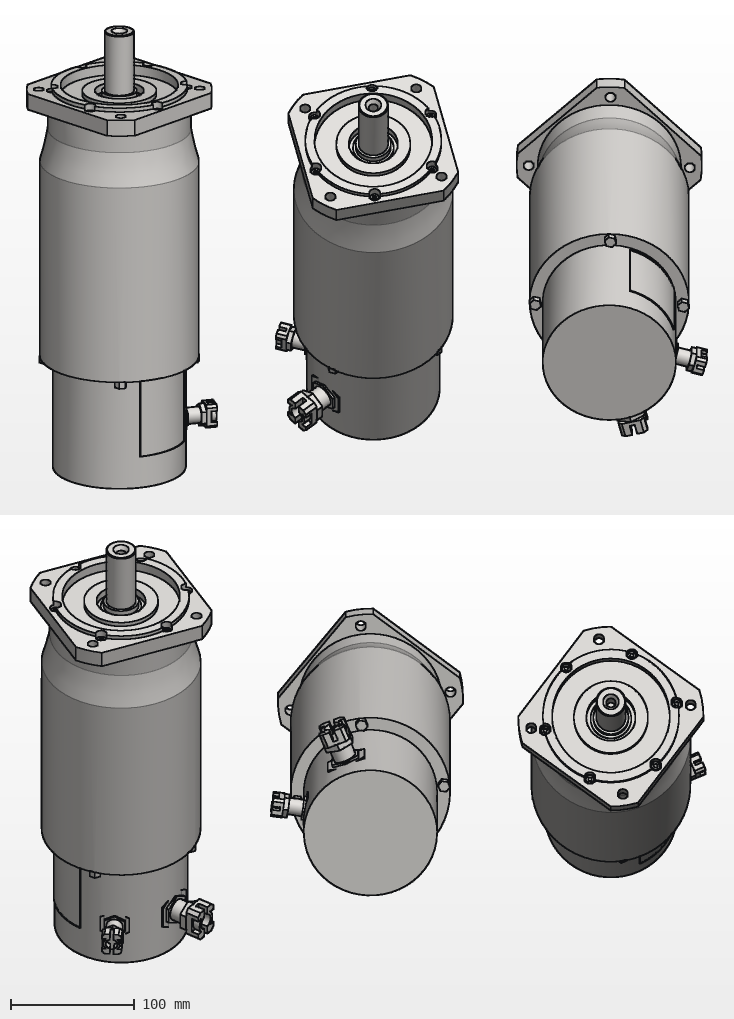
import cadquery as cq
import math

total_height = 374.5
barrel_top = 95.5
body_top = 263.0
neck_base = 291.0
flange_bottom = 311.3
flange_top = 324.8
pilot_top = 328.0

barrel_radius = 54.0
body_radius = 64.5
neck_radius = 58.0
taper_mid_radius = 60.5
shaft_radius = 12.0
shaft_chamfer = 0.7

flange_width = 120.5
flange_corner_radius = 75.0
mount_hole_offset = 46.0
mount_hole_diameter = 8.2

pilot_radius = 55.0
recess_radius = 47.5
recess_depth = 8.5
boss_radius = 30.0
boss_height = 3.7
seat_radius = 20.0
seat_depth = 6.7
bearing_radius = 16.5
bearing_drop = 5.0
sleeve_radius = 14.2

cap_screw_count = 6
cap_screw_circle = 54.5
cap_screw_start_angle = -11.7
cap_pocket_radius = 4.5
cap_pocket_depth = 8.2
cap_head_radius = 3.5
cap_head_height = 3.0
cap_socket_width = 3.5
cap_socket_depth = 1.5

centre_hole_radius = 3.7
centre_hole_depth = 18.7
centre_countersink_radius = 6.5
centre_countersink_depth = 3.7

rear_screw_offset = 42.5
rear_screw_across_corners = 9.7
rear_screw_height = 5.5

cover_half_width = 25.5
cover_radius = 54.7
cover_bottom = 27.0
cover_top = 91.8

connector_height = 37.5
connector_base_reach = 53.2
connector_collar_reach = 55.5
power_connector_angle = 120
signal_connector_angle = 60
power_connector_reach = 84.3
signal_connector_reach = 80.0
signal_connector_scale = 0.74

base_across_corners = 36.7
nut_across_corners = 26.2
nut_length = 5.5
neck_diameter = 18.5
head_width = 21.5
head_height = 26.5
head_length = 12.0
head_corner_chamfer = 3.0
head_bore_diameter = 12.7
head_slot_width = 4.0
head_slot_depth = 8.5
head_notch_length = 6.5
head_notch_height = 12.7
head_core_diameter = 18.0


def cylinder(radius, bottom, top):
    return cq.Workplane("XY").workplane(offset=bottom).circle(radius).extrude(top - bottom)


def make_housing():
    """Barrel, body, taper and neck as one turned profile."""
    taper_mid_height = (body_top + neck_base) / 2
    return (
        cq.Workplane("XZ")
        .lineTo(barrel_radius, 0)
        .lineTo(barrel_radius, barrel_top)
        .lineTo(body_radius, barrel_top)
        .lineTo(body_radius, body_top)
        .threePointArc((taper_mid_radius, taper_mid_height), (neck_radius, neck_base))
        .lineTo(neck_radius, flange_bottom)
        .lineTo(0, flange_bottom)
        .close()
        .revolve(360, (0, 0, 0), (0, 1, 0))
    )


def make_flange():
    """Mounting flange with its raised disc, recess, boss and bearing seat."""
    thickness = flange_top - flange_bottom
    flange = (
        cq.Workplane("XY")
        .workplane(offset=flange_bottom)
        .rect(flange_width, flange_width)
        .extrude(thickness)
        .intersect(cylinder(flange_corner_radius, flange_bottom, flange_top))
        .union(cylinder(pilot_radius, flange_top, pilot_top))
    )
    recess_floor = pilot_top - recess_depth
    boss_top = recess_floor + boss_height
    seat_floor = boss_top - seat_depth
    flange = flange.cut(cylinder(recess_radius, recess_floor, pilot_top))
    flange = flange.union(cylinder(boss_radius, recess_floor, boss_top))
    flange = flange.cut(cylinder(seat_radius, seat_floor, boss_top))
    flange = flange.union(cylinder(bearing_radius, seat_floor, boss_top - bearing_drop))
    return flange.union(cylinder(sleeve_radius, seat_floor, boss_top))


def make_mount_holes():
    spacing = 2 * mount_hole_offset
    return (
        cq.Workplane("XY")
        .workplane(offset=flange_bottom)
        .rect(spacing, spacing, forConstruction=True)
        .vertices()
        .circle(mount_hole_diameter / 2)
        .extrude(flange_top - flange_bottom)
    )


def add_cap_screws(part):
    """Cut a pocket for each cap screw and set a socket head in it."""
    pocket_floor = pilot_top - cap_pocket_depth
    head_top = pocket_floor + cap_head_height
    pocket = cylinder(cap_pocket_radius, pocket_floor, pilot_top)
    socket = (
        cq.Workplane("XY")
        .workplane(offset=head_top - cap_socket_depth)
        .polygon(6, cap_socket_width)
        .extrude(cap_socket_depth)
    )
    head = cylinder(cap_head_radius, pocket_floor, head_top).cut(socket)
    for index in range(cap_screw_count):
        angle = math.radians(cap_screw_start_angle + index * 360 / cap_screw_count)
        place = (cap_screw_circle * math.cos(angle), cap_screw_circle * math.sin(angle), 0)
        part = part.cut(pocket.translate(place)).union(head.translate(place))
    return part


def make_shaft():
    """Output shaft with a countersunk centre hole."""
    shaft = cylinder(shaft_radius, flange_bottom, total_height).faces(">Z").chamfer(shaft_chamfer)
    centre_hole = (
        cq.Workplane("XZ")
        .moveTo(0, total_height)
        .lineTo(centre_countersink_radius, total_height)
        .lineTo(centre_hole_radius, total_height - centre_countersink_depth)
        .lineTo(centre_hole_radius, total_height - centre_hole_depth)
        .lineTo(0, total_height - centre_hole_depth)
        .close()
        .revolve(360, (0, 0, 0), (0, 1, 0))
    )
    return shaft.cut(centre_hole)


def make_rear_screws():
    spacing = 2 * rear_screw_offset
    return (
        cq.Workplane("XY")
        .workplane(offset=barrel_top - rear_screw_height)
        .rect(spacing, spacing, forConstruction=True)
        .vertices()
        .polygon(6, rear_screw_across_corners)
        .extrude(rear_screw_height)
    )


def make_cover():
    """Thin curved plate lying on the barrel."""
    block = cq.Workplane("XY").workplane(offset=cover_bottom).box(
        cover_radius, 2 * cover_half_width, cover_top - cover_bottom, centered=(False, True, False)
    )
    return block.intersect(cylinder(cover_radius, cover_bottom, cover_top))


def make_connector_head(start, scale):
    """Block with chamfered corners, a bored and slotted end and notched flanks."""
    width = head_width * scale
    height = head_height * scale
    length = head_length * scale
    slot_depth = head_slot_depth * scale
    notch_length = head_notch_length * scale
    end = start + length

    block = cq.Workplane("YZ").workplane(offset=start).rect(width, height).extrude(length)
    block = block.edges("|X").chamfer(head_corner_chamfer * scale)

    slot_plane = cq.Workplane("YZ").workplane(offset=end - slot_depth)
    bore = slot_plane.circle(head_bore_diameter / 2 * scale).extrude(slot_depth)
    slot = slot_plane.rect(head_slot_width * scale, height).extrude(slot_depth)

    notch_plane = cq.Workplane("YZ").workplane(offset=end - notch_length)
    core = notch_plane.circle(head_core_diameter / 2 * scale).extrude(notch_length)
    notches = notch_plane.rect(width, head_notch_height * scale).extrude(notch_length).cut(core)
    return block.cut(notches).cut(bore).cut(slot)


def make_connector(angle, reach, scale):
    """Hexagonal base, collar, round neck, coupling nut and head, built along +X and turned."""
    head_start = reach - head_length * scale
    nut_start = head_start - nut_length * scale
    inner_end = barrel_radius / 2

    def hexagon(across_corners, start, end):
        plane = cq.Workplane("YZ").workplane(offset=start).transformed(rotate=(0, 0, 90))
        return plane.polygon(6, across_corners * scale).extrude(end - start)

    neck_plane = cq.Workplane("YZ").workplane(offset=inner_end)
    neck = neck_plane.circle(neck_diameter / 2 * scale).extrude(nut_start - inner_end)
    connector = (
        hexagon(base_across_corners, inner_end, connector_base_reach)
        .union(hexagon(nut_across_corners, inner_end, connector_collar_reach))
        .union(neck)
        .union(hexagon(nut_across_corners, nut_start, head_start))
        .union(make_connector_head(head_start, scale))
    )
    return connector.translate((0, 0, connector_height)).rotate((0, 0, 0), (0, 0, 1), angle)


result = make_housing().union(make_flange()).cut(make_mount_holes())
result = add_cap_screws(result)
result = result.union(make_shaft()).union(make_rear_screws()).union(make_cover())
result = result.union(make_connector(power_connector_angle, power_connector_reach, 1))
result = result.union(
    make_connector(signal_connector_angle, signal_connector_reach, signal_connector_scale)
)